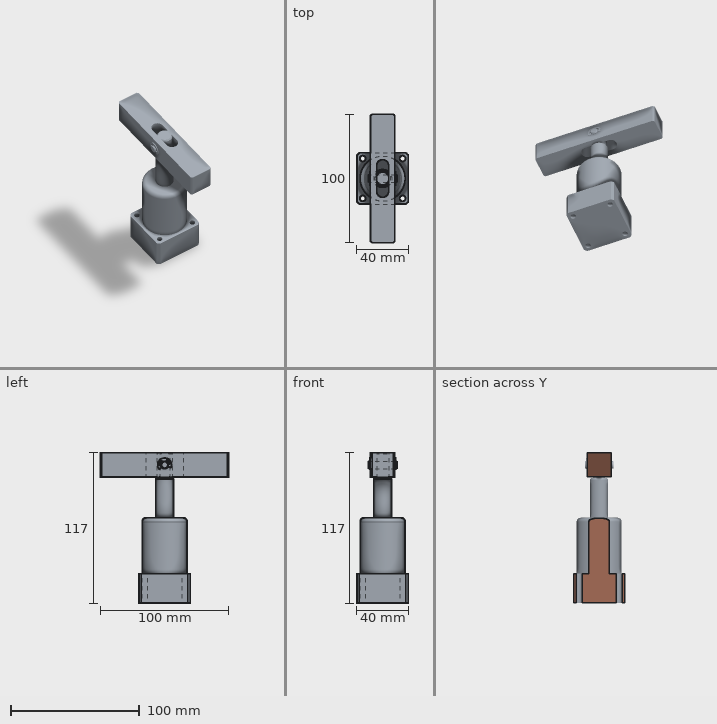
import cadquery as cq
import math

total_height = 117.0

base_side = 40.0
base_height = 23.0
base_corner_chamfer = 2.0
barrel_diameter = 35.0
barrel_top_z = 66.5
barrel_edge_radius = 3.0
mounting_hole_diameter = 4.3
mounting_hole_spacing = 31.0

arm_length = 100.0
arm_side = 19.0
arm_corner_chamfer = 1.3
slot_width = 9.4
slot_center_distance = 19.9

rod_diameter = 14.0
rod_chamfer = 1.0
tongue_gap = 0.7
tongue_chamfer = 1.0

pin_length = 22.3
pin_diameter = 6.0
pin_taper_length = 0.8
pin_taper_depth = 0.5
groove_diameter = 4.9
clip_thickness = 0.6
clip_outer_radius = 5.4
clip_relief_radius = 4.2
clip_tip_radius = 0.6
clip_tilt = 7.0
lip_angle = 123.0
relief_start_angle = 29.0
relief_end_angle = 88.0

arm_bottom_z = total_height - arm_side
pin_z = total_height - arm_side / 2
shoulder_z = arm_bottom_z - tongue_gap
tongue_diameter = rod_diameter - 2 * rod_chamfer
groove_radius = groove_diameter / 2
clip_start_positions = (-arm_side / 2 - clip_thickness, arm_side / 2)


def make_housing():
    base = (
        cq.Workplane("XY")
        .rect(base_side, base_side)
        .extrude(base_height)
        .edges("|Z")
        .chamfer(base_corner_chamfer)
    )
    barrel = (
        cq.Workplane("XY")
        .workplane(offset=base_height)
        .circle(barrel_diameter / 2)
        .extrude(barrel_top_z - base_height)
        .faces(">Z")
        .edges()
        .fillet(barrel_edge_radius)
    )
    mounting_holes = (
        cq.Workplane("XY")
        .rect(mounting_hole_spacing, mounting_hole_spacing, forConstruction=True)
        .vertices()
        .circle(mounting_hole_diameter / 2)
        .extrude(base_height)
    )
    return base.cut(mounting_holes).union(barrel)


def pin_bore():
    """Cylinder along X that clears the pin through the arm and the tongue."""
    return (
        cq.Workplane("YZ", origin=(-arm_side / 2, 0, pin_z))
        .circle(pin_diameter / 2)
        .extrude(arm_side)
    )


def make_rod():
    """Round rod standing on the barrel, ending in a tongue flush with the arm top."""
    shaft = (
        cq.Workplane("XY")
        .workplane(offset=barrel_top_z)
        .circle(rod_diameter / 2)
        .extrude(shoulder_z - barrel_top_z)
        .faces(">Z")
        .edges()
        .chamfer(rod_chamfer)
    )
    tongue_height = total_height - shoulder_z
    flats = (
        cq.Workplane("XY")
        .workplane(offset=shoulder_z)
        .rect(slot_width, rod_diameter)
        .extrude(tongue_height)
    )
    tongue = (
        cq.Workplane("XY")
        .workplane(offset=shoulder_z)
        .circle(tongue_diameter / 2)
        .extrude(tongue_height)
        .faces(">Z")
        .edges()
        .chamfer(tongue_chamfer)
        .intersect(flats)
    )
    return shaft.union(tongue).cut(pin_bore())


def make_arm():
    bar = (
        cq.Workplane("XY")
        .workplane(offset=arm_bottom_z)
        .rect(arm_side, arm_length)
        .extrude(arm_side)
        .edges("|Z")
        .chamfer(arm_corner_chamfer)
    )
    slot = (
        cq.Workplane("XY")
        .workplane(offset=arm_bottom_z)
        .slot2D(slot_center_distance + slot_width, slot_width, 90)
        .extrude(arm_side)
    )
    return bar.cut(slot).cut(pin_bore())


def make_pin():
    """Pin along X with tapered ends and a clip groove just outside each arm face."""
    half_length = pin_length / 2
    radius = pin_diameter / 2
    end_radius = radius - pin_taper_depth
    taper_start = half_length - pin_taper_length
    pin = (
        cq.Workplane("XZ", origin=(0, 0, pin_z))
        .moveTo(-half_length, 0)
        .lineTo(-half_length, end_radius)
        .lineTo(-taper_start, radius)
        .lineTo(taper_start, radius)
        .lineTo(half_length, end_radius)
        .lineTo(half_length, 0)
        .close()
        .revolve(360, (0, 0, 0), (1, 0, 0))
    )
    for groove_x in clip_start_positions:
        groove = (
            cq.Workplane("YZ", origin=(groove_x, 0, pin_z))
            .circle(radius)
            .circle(groove_radius)
            .extrude(clip_thickness)
        )
        pin = pin.cut(groove)
    return pin


def polar(radius, angle):
    """Point at an angle measured from +Z toward +Y, in degrees."""
    turn = math.radians(angle)
    return (radius * math.sin(turn), radius * math.cos(turn))


def ring_sector(inner_radius, outer_radius, start_angle, end_angle, start_x):
    """Slice of a flat ring around the pin axis, one clip thickness deep."""
    middle_angle = (start_angle + end_angle) / 2
    return (
        cq.Workplane("YZ", origin=(start_x, 0, pin_z))
        .moveTo(*polar(inner_radius, start_angle))
        .lineTo(*polar(outer_radius, start_angle))
        .threePointArc(polar(outer_radius, middle_angle), polar(outer_radius, end_angle))
        .lineTo(*polar(inner_radius, end_angle))
        .threePointArc(polar(inner_radius, middle_angle), polar(inner_radius, start_angle))
        .close()
        .extrude(clip_thickness)
    )


def make_clip(start_x):
    """E-clip gripping the pin groove with three tabs, its mouth facing down."""
    clip = ring_sector(
        groove_radius, clip_outer_radius, clip_tilt - lip_angle, clip_tilt + lip_angle, start_x
    )
    for side in (-1, 1):
        tip_y, tip_height = polar(clip_outer_radius, clip_tilt + side * lip_angle)
        tip_corner = cq.NearestToPointSelector((start_x, tip_y, pin_z + tip_height))
        clip = clip.edges("|X").edges(tip_corner).fillet(clip_tip_radius)
    for side in (-1, 1):
        near_angle = clip_tilt + side * relief_start_angle
        far_angle = clip_tilt + side * relief_end_angle
        relief = ring_sector(groove_radius, clip_relief_radius, near_angle, far_angle, start_x)
        clip = clip.cut(relief)
    return clip


housing = make_housing()
rod = make_rod()
arm = make_arm()
pin = make_pin()
clips = [make_clip(start_x) for start_x in clip_start_positions]

result = cq.Compound.makeCompound(
    [housing.val(), rod.val(), arm.val(), pin.val(), *[clip.val() for clip in clips]]
)